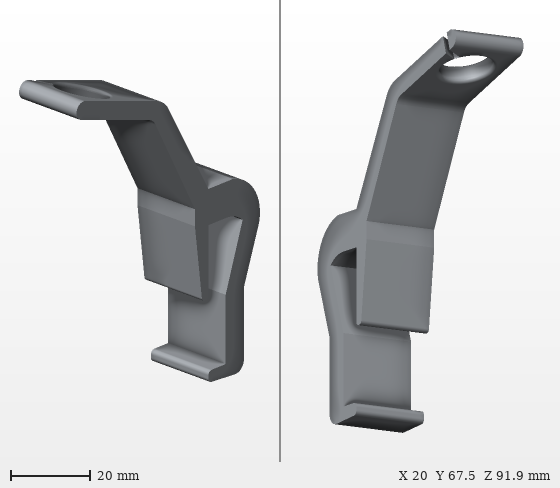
import cadquery as cq
import math

width = 20.0
depth = 67.5
height = 91.9

arm_thickness = 5.0
arm_angle = math.radians(17)
leg_top_angle = math.radians(61)
leg_under_angle = math.radians(62.3)
bend_outer_radius = 7.0
bend_inner_radius = 4.0

shoulder_top = 53.85
shoulder_under = 43.9
dome_radius = 12.4
dome_front = 9.9
dome_bottom = (0.3, 39.0)
hollow_radius = 8.7
hollow_front = 12.4
hollow_corner = (6.3, 41.5)
prong_back = 18.9
prong_front = 23.9
prong_tip_front = 21.2
prong_tip = 23.6
prong_taper_start = 45.1
leg_under_start = 49.8
prong_tip_radius = 1.1

post_back = 5.9
post_front = 12.6
post_top = 22.9
hook_top = 3.9
hook_front = prong_back
hook_end_rise = 0.6
hook_flat_start = 9.2
heel_radius = 3.1
hook_nose_radius = 1.2

hole_diameter = 13.9
hole_lip_radius = 1.0
hole_setback = 9.9
slit_width = 1.61
slit_setback = 2.25
slit_angle = 32.0

tip_radius = arm_thickness / 2
tip_forward = depth - tip_radius
tip_height = height - tip_radius


def meet(start, start_angle, other, other_angle):
    """Point where two lines in the side profile cross."""
    gap_forward = other[0] - start[0]
    gap_up = other[1] - start[1]
    travel = (gap_forward * math.sin(other_angle) - gap_up * math.cos(other_angle)) / math.sin(
        other_angle - start_angle
    )
    return (start[0] + travel * math.cos(start_angle), start[1] + travel * math.sin(start_angle))


def at(point):
    """Turn (distance forward, height) into (Y, Z)."""
    return (-point[0], point[1])


def tip_point(angle):
    """Point on the rounded arm tip at the given angle."""
    return (tip_forward + tip_radius * math.cos(angle), tip_height + tip_radius * math.sin(angle))


tip_upper = tip_point(arm_angle + math.pi / 2)
tip_lower = tip_point(arm_angle - math.pi / 2)
leg_top_start = (prong_back, shoulder_top)
leg_under_point = (prong_front, leg_under_start)
bend_outer = meet(leg_top_start, leg_top_angle, tip_upper, arm_angle)
bend_inner = meet(leg_under_point, leg_under_angle, tip_lower, arm_angle)


def round_corner(body, point, radius):
    """Fillet the full-width edge through a profile corner."""
    edge = body.edges("|X").edges(cq.selectors.NearestToPointSelector((0, *at(point))))
    return edge.fillet(radius)


def make_strip():
    body = (
        cq.Workplane("YZ")
        .moveTo(*at(tip_upper))
        .lineTo(*at(bend_outer))
        .lineTo(*at(leg_top_start))
        .lineTo(*at((dome_front, shoulder_top)))
        .radiusArc(at(dome_bottom), dome_radius)
        .lineTo(*at((post_back, post_top)))
        .lineTo(*at((post_back, 0)))
        .lineTo(*at((hook_flat_start, 0)))
        .lineTo(*at((hook_front, hook_end_rise)))
        .lineTo(*at((hook_front, hook_top)))
        .lineTo(*at((post_front, hook_top)))
        .lineTo(*at((post_front, post_top)))
        .lineTo(*at(hollow_corner))
        .radiusArc(at((hollow_front, shoulder_under)), -hollow_radius)
        .lineTo(*at((prong_back, shoulder_under)))
        .lineTo(*at((prong_back, prong_tip)))
        .lineTo(*at((prong_tip_front, prong_tip)))
        .lineTo(*at((prong_front, prong_taper_start)))
        .lineTo(*at(leg_under_point))
        .lineTo(*at(bend_inner))
        .lineTo(*at(tip_lower))
        .threePointArc(at(tip_point(arm_angle)), at(tip_upper))
        .close()
        .extrude(width / 2, both=True)
    )
    rounded_corners = [
        (bend_outer, bend_outer_radius),
        (bend_inner, bend_inner_radius),
        ((post_back, 0), heel_radius),
        ((hook_front, hook_top), hook_nose_radius),
        ((hook_front, hook_end_rise), hook_nose_radius),
        ((prong_back, prong_tip), prong_tip_radius),
        ((prong_tip_front, prong_tip), prong_tip_radius),
    ]
    for corner, radius in rounded_corners:
        body = round_corner(body, corner, radius)
    return body


arm_plane = cq.Plane(
    origin=(0, *at((tip_forward, tip_height))),
    xDir=(1, 0, 0),
    normal=(0, math.sin(arm_angle), math.cos(arm_angle)),
)


def make_hole_cutter():
    """Bore flared by a convex quarter-round lip at both arm faces."""
    bore_radius = hole_diameter / 2
    half = arm_thickness / 2
    lip_start = half - hole_lip_radius
    lip_edge = bore_radius + hole_lip_radius
    lip_inset = hole_lip_radius * (1 - math.sqrt(0.5))
    lip_middle = (bore_radius + lip_inset, half - lip_inset)
    return (
        cq.Workplane("XY")
        .moveTo(0, -half)
        .lineTo(lip_edge, -half)
        .threePointArc((lip_middle[0], -lip_middle[1]), (bore_radius, -lip_start))
        .lineTo(bore_radius, lip_start)
        .threePointArc(lip_middle, (lip_edge, half))
        .lineTo(0, half)
        .close()
        .revolve(360, (0, 0), (0, 1))
        .rotate((0, 0, 0), (1, 0, 0), 90)
        .val()
        .located(cq.Location(arm_plane) * cq.Location(cq.Vector(0, hole_setback, 0)))
    )


def make_slit_cutter():
    """Slanted slit from the -X side into the hole."""
    slit_length = width / 2
    return (
        cq.Workplane(arm_plane)
        .center(-width / 2, slit_setback)
        .transformed(rotate=(0, 0, slit_angle))
        .rect(slit_length, slit_width)
        .extrude(arm_thickness, both=True)
    )


result = make_strip().cut(cq.Workplane(make_hole_cutter())).cut(make_slit_cutter())